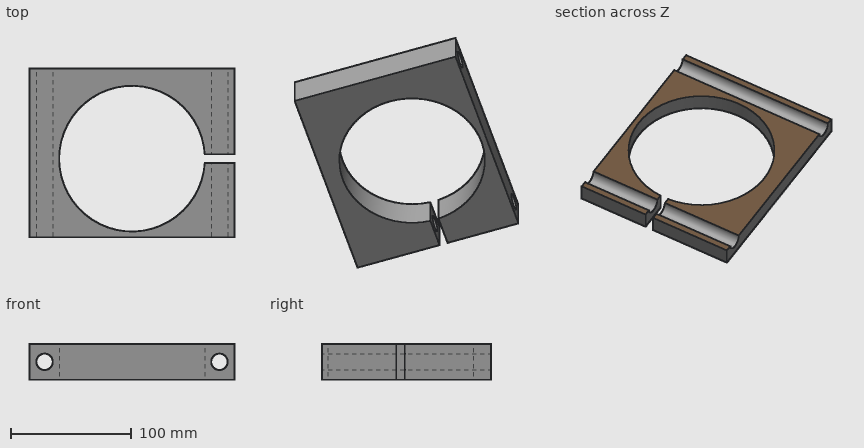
import cadquery as cq

length = 170.0
width = 140.0
thickness = 30.0

bore_diameter = 120.5
thin_wall = 5.0
bore_y = -width / 2 + thin_wall + bore_diameter / 2

slit_width = 7.0

bolt_diameter = 13.5
bolt_end_distance = 12.5
bolt_x = length / 2 - bolt_end_distance

block = cq.Workplane("XY").box(length, width, thickness)

bore = cq.Workplane("XY").center(0, bore_y).circle(bore_diameter / 2).extrude(thickness, both=True)

slit = (
    cq.Workplane("XY")
    .center(0, bore_y)
    .box(length, slit_width, thickness, centered=(False, True, True))
)

bolt_holes = (
    cq.Workplane("XZ")
    .pushPoints([(-bolt_x, 0), (bolt_x, 0)])
    .circle(bolt_diameter / 2)
    .extrude(width, both=True)
)

result = block.cut(bore).cut(slit).cut(bolt_holes)